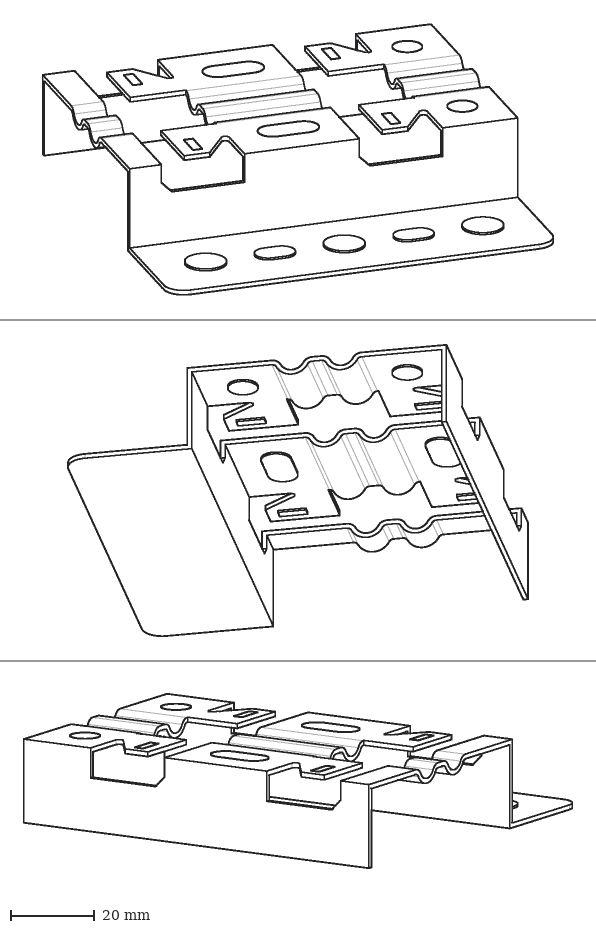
import cadquery as cq
import math

length = 98.0
total_width = 93.0
height = 21.6
sheet = 1.2
channel_width = 63.1
channel_mid = channel_width / 2
flange_corner_radius = 5.0

bead_spacing = 12.1
bead_half_width = 4.9
bead_depth = 2.9
bead_crest_radius = 2.45
bead_slope = 2 * math.atan(bead_depth / bead_half_width)

window_pitch = 50.0
first_window_back = 79.0
window_back_edges = [first_window_back, first_window_back - window_pitch]
window_length = 21.0
window_depth = 7.35
window_chamfer = 2.6

tab_length = 14.0
tab_outer_x = 3.5
tab_inner_x = 20.4
tab_straight_length = 6.5
notch_radius = 1.0
notch_center_x = 11.1

mark_height = 0.5
dent_depth = 0.1
tab_mark_x = 9.8
tab_mark_size = (6.9, 2.4)
tab_mark_setback = 9.6
top_mark_x = 11.6
top_mark_width = 7.3
top_circle_y = 88.0
top_slot_y = 44.1
top_slot_length = 15.2
flange_mark_x = 78.0
flange_mark_pitch = 35.0
flange_circle_diameter = 10.0
flange_slot_length = 10.0
flange_slot_width = 6.6


def draw_bead(outline, center_x, inset, direction):
    """Add one bead, `inset` below the top face, toward +X (direction 1) or -X (direction -1)."""

    def crest(side, angle):
        radius = bead_crest_radius - inset
        x = center_x + side * direction * (bead_half_width - radius * math.sin(angle))
        return (x, height - bead_crest_radius + radius * math.cos(angle))

    valley_bottom = (center_x, height - bead_depth - inset)

    return (
        outline.lineTo(*crest(-1, 0))
        .threePointArc(crest(-1, bead_slope / 2), crest(-1, bead_slope))
        .threePointArc(valley_bottom, crest(1, bead_slope))
        .threePointArc(crest(1, bead_slope / 2), crest(1, 0))
    )


def folded_sheet():
    """Constant cross-section of channel, beads and flange, run along the full length."""
    bead_centers = [channel_mid - bead_spacing / 2, channel_mid + bead_spacing / 2]
    outline = cq.Workplane("XZ").moveTo(0, sheet).lineTo(0, height)
    for center_x in bead_centers:
        outline = draw_bead(outline, center_x, 0, 1)
    outline = (
        outline.lineTo(channel_width, height)
        .lineTo(channel_width, sheet)
        .lineTo(total_width, sheet)
        .lineTo(total_width, 0)
        .lineTo(channel_width - sheet, 0)
        .lineTo(channel_width - sheet, height - sheet)
    )
    for center_x in reversed(bead_centers):
        outline = draw_bead(outline, center_x, sheet, -1)
    outline = outline.lineTo(sheet, height - sheet).lineTo(sheet, sheet).close()
    return outline.extrude(-length).edges("|Z and >X").fillet(flange_corner_radius)


def window(back_y):
    """Cutter across the whole channel, with one chamfered lower corner at the front."""
    front_y = back_y - window_length
    floor_z = height - window_depth
    return (
        cq.Workplane("YZ")
        .moveTo(back_y, height)
        .lineTo(back_y, floor_z)
        .lineTo(front_y + window_chamfer, floor_z)
        .lineTo(front_y, floor_z + window_chamfer)
        .lineTo(front_y, height)
        .close()
        .extrude(channel_width)
    )


def mirrored(shape):
    """Copy of a left-hand shape on the right-hand side of the channel."""
    return shape.mirror("YZ", (channel_mid, 0, 0))


def tab(back_y):
    """Left-hand tab with a slanted outer flank ending in a rounded notch."""
    front_y = back_y - tab_length
    shoulder_y = front_y + tab_straight_length
    notch_y = back_y - notch_radius

    run = notch_center_x - tab_outer_x
    rise = notch_y - shoulder_y
    flank_angle = math.atan2(rise, run) - math.asin(notch_radius / math.hypot(run, rise))
    tangent_angle = flank_angle - math.pi / 2
    middle_angle = (tangent_angle + math.pi / 2) / 2

    def notch_point(angle):
        x = notch_center_x + notch_radius * math.cos(angle)
        return (x, notch_y + notch_radius * math.sin(angle))

    return (
        cq.Workplane("XY", origin=(0, 0, height - sheet))
        .moveTo(tab_inner_x, back_y)
        .lineTo(tab_inner_x, front_y)
        .lineTo(tab_outer_x, front_y)
        .lineTo(tab_outer_x, shoulder_y)
        .lineTo(*notch_point(tangent_angle))
        .threePointArc(notch_point(middle_angle), (notch_center_x, back_y))
        .close()
        .extrude(sheet)
    )


def emboss_down(body, mark):
    """Raise a mark, left and right, under the channel top and dent the face above it."""
    raised = mark(cq.Workplane("XY", origin=(0, 0, height - sheet))).extrude(-mark_height)
    dent = mark(cq.Workplane("XY", origin=(0, 0, height))).extrude(-dent_depth)
    return body.union(raised).union(mirrored(raised)).cut(dent).cut(mirrored(dent))


def emboss_up(body, mark):
    """Raise a mark on the upper face of the flange."""
    return body.union(mark(cq.Workplane("XY", origin=(0, 0, sheet))).extrude(mark_height))


def circle_mark(x, y, diameter):
    return lambda plane: plane.center(x, y).circle(diameter / 2)


def slot_mark(x, y, slot_length, width):
    return lambda plane: plane.center(x, y).slot2D(slot_length, width, 90)


def bar_mark(x, y, size):
    return lambda plane: plane.center(x, y).rect(*size)


result = folded_sheet()
for back_edge in window_back_edges:
    left_tab = tab(back_edge)
    result = result.cut(window(back_edge)).union(left_tab).union(mirrored(left_tab))

result = emboss_down(result, circle_mark(top_mark_x, top_circle_y, top_mark_width))
result = emboss_down(result, slot_mark(top_mark_x, top_slot_y, top_slot_length, top_mark_width))
for back_edge in window_back_edges:
    result = emboss_down(result, bar_mark(tab_mark_x, back_edge - tab_mark_setback, tab_mark_size))

for step in (-1, 0, 1):
    mark_y = length / 2 + step * flange_mark_pitch
    result = emboss_up(result, circle_mark(flange_mark_x, mark_y, flange_circle_diameter))
for step in (-0.5, 0.5):
    mark_y = length / 2 + step * flange_mark_pitch
    result = emboss_up(result, slot_mark(flange_mark_x, mark_y, flange_slot_length, flange_slot_width))